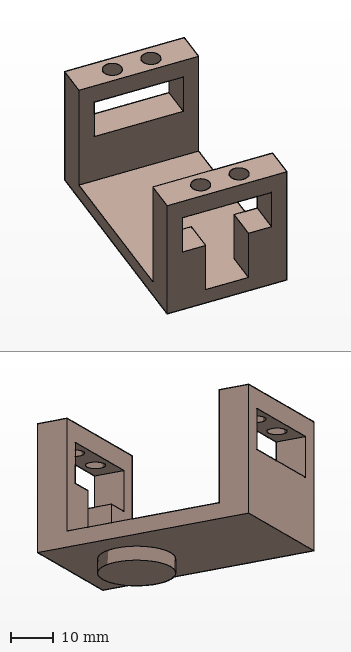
import cadquery as cq

length = 57.0
width = 31.0
total_height = 35.5
boss_height = 3.5
bracket_height = total_height - boss_height

wall_thickness = 8.0
base_thickness = 4.0
wall_center_x = (length - wall_thickness) / 2

boss_diameter = 18.35
boss_center_x = 10.55

window_width = 23.0
window_height = 10.15
top_bar_height = 4.85
window_top = bracket_height - top_bar_height
window_bottom = window_top - window_height

slot_width = 11.05

hole_diameter = 4.7
hole_spacing = 10.0


def block(size_x, size_y, bottom, top, center_x=0):
    """Box centred on the XZ plane, between two heights."""
    return (
        cq.Workplane("XY", origin=(center_x, 0, bottom))
        .box(size_x, size_y, top - bottom, centered=(True, True, False))
    )


inner_length = length - 2 * wall_thickness
body = block(length, width, 0, bracket_height)
body = body.cut(block(inner_length, width, base_thickness, bracket_height))

body = body.cut(block(length, window_width, window_bottom, window_top))
body = body.cut(block(wall_thickness, slot_width, base_thickness, window_top, wall_center_x))

holes = (
    cq.Workplane("XY", origin=(0, 0, window_top))
    .rarray(2 * wall_center_x, hole_spacing, 2, 2)
    .circle(hole_diameter / 2)
    .extrude(top_bar_height)
)
body = body.cut(holes)

boss = (
    cq.Workplane("XY", origin=(boss_center_x, 0, -boss_height))
    .circle(boss_diameter / 2)
    .extrude(boss_height)
)
result = body.union(boss)